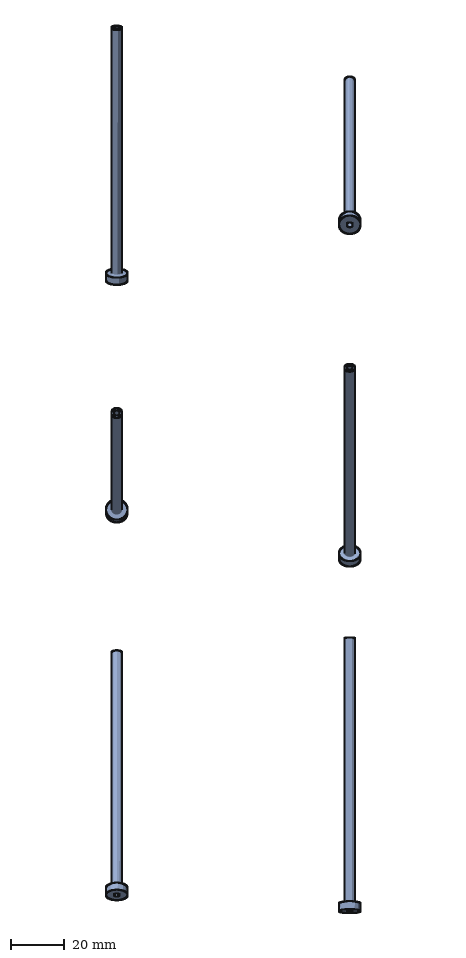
import cadquery as cq

total_length = 103.0
head_diameter = 8.0
head_height = 3.0
shaft_diameter = 4.0
bore_diameter = 2.2
root_fillet = 0.3

head_radius = head_diameter / 2
shaft_radius = shaft_diameter / 2
bore_radius = bore_diameter / 2
bottom = -total_length / 2
top = bottom + total_length
head_top = bottom + head_height


def root_fillet_midpoint():
    """Point halfway along the concave quarter arc at the shaft root."""
    inset = root_fillet * (1 - 0.5 ** 0.5)
    return (shaft_radius + inset, head_top + inset)


half_section = (
    cq.Workplane("XZ")
    .moveTo(bore_radius, bottom)
    .lineTo(head_radius, bottom)
    .lineTo(head_radius, head_top)
    .lineTo(shaft_radius + root_fillet, head_top)
    .threePointArc(root_fillet_midpoint(), (shaft_radius, head_top + root_fillet))
    .lineTo(shaft_radius, top)
    .lineTo(bore_radius, top)
    .close()
)

result = half_section.revolve(360, (0, 0, 0), (0, 1, 0))